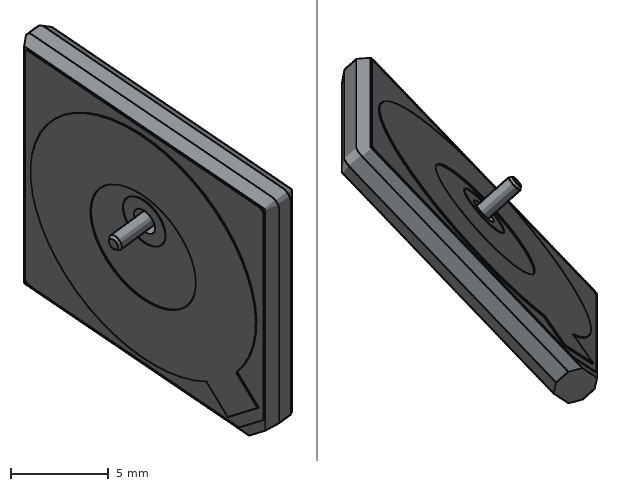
import cadquery as cq
import math

plate_side = 18.0
plate_thickness = 2.0
plate_corner_radius = 0.54
bevel_depth = 0.58
bevel_inset = 0.43
corner_cut = 2.0

film_side = 16.95
film_thickness = 0.04
film_corner_radius = 0.32
film_corner_cut = 1.78

patch_diameter = 15.98
patch_thickness = 0.07
patch_opening_diameter = 7.49
tab_width = 3.0
tab_reach = 10.0
tab_angle = -45.0

feed_z = 1.8
film_opening_diameter = 3.0
feed_hole_diameter = 1.5
pin_diameter = 0.9
pin_projection = 2.2
pin_tip_chamfer = 0.16
pin_tip_diameter = 0.65
head_diameter = 1.87
head_height = 0.49

film_front_y = -plate_thickness - film_thickness
patch_front_y = film_front_y - patch_thickness
pin_tip_y = patch_front_y - pin_projection


def front_plane(y):
    """Sketch plane across Y whose extrusions grow towards -Y."""
    return cq.Workplane("XZ", origin=(0, y, 0))


def rounded_square(y, side, radius):
    sketch = cq.Sketch().rect(side, side).vertices().fillet(radius)
    return front_plane(y).placeSketch(sketch)


def corner_prism(side, leg):
    """Triangular prism over the +X, -Z corner of a square."""
    half = side / 2
    return (
        front_plane(0)
        .polyline([(half, -half), (half, leg - half), (half - leg, -half)])
        .close()
        .extrude(plate_thickness + film_thickness)
    )


def feed_cylinder(diameter, y, length):
    return front_plane(y).center(0, feed_z).circle(diameter / 2).extrude(length)


def make_plate():
    bevel_taper = math.degrees(math.atan(bevel_inset / bevel_depth))
    half_thickness = plate_thickness / 2
    straight_half = half_thickness - bevel_depth
    rim = rounded_square(-half_thickness, plate_side, plate_corner_radius).extrude(straight_half)
    bevel = rounded_square(-half_thickness - straight_half, plate_side, plate_corner_radius).extrude(
        bevel_depth, taper=bevel_taper
    )
    front_half = rim.union(bevel)
    back_half = front_half.mirror("XZ", (0, -half_thickness, 0))
    return front_half.union(back_half).cut(corner_prism(plate_side, corner_cut))


def make_film():
    film = rounded_square(-plate_thickness, film_side, film_corner_radius).extrude(film_thickness)
    film = film.cut(corner_prism(film_side, film_corner_cut))
    return film.cut(feed_cylinder(film_opening_diameter, -plate_thickness, film_thickness))


def make_patch():
    disc = front_plane(film_front_y).circle(patch_diameter / 2).extrude(patch_thickness)
    tab = (
        front_plane(film_front_y)
        .transformed(rotate=(0, 0, tab_angle))
        .center(tab_reach / 2, 0)
        .rect(tab_reach, tab_width)
        .extrude(patch_thickness)
    )
    opening = front_plane(film_front_y).circle(patch_opening_diameter / 2).extrude(patch_thickness)
    return disc.union(tab).cut(opening)


def make_antenna():
    """Plate, film and patch as one solid, with the feed hole through the plate."""
    antenna = make_plate().union(make_film()).union(make_patch())
    return antenna.cut(feed_cylinder(feed_hole_diameter, 0, plate_thickness))


def make_pin():
    """Pin with a domed head that rests on the back of the plate and covers the feed hole."""
    dome_radius = ((head_diameter / 2) ** 2 + head_height**2) / (2 * head_height)
    arc_half_angle = math.asin(head_diameter / 2 / dome_radius) / 2
    arc_middle = (
        head_height - dome_radius * (1 - math.cos(arc_half_angle)),
        dome_radius * math.sin(arc_half_angle),
    )
    return (
        cq.Workplane("YZ", origin=(0, 0, feed_z))
        .moveTo(pin_tip_y, 0)
        .lineTo(pin_tip_y, pin_tip_diameter / 2)
        .lineTo(pin_tip_y + pin_tip_chamfer, pin_diameter / 2)
        .lineTo(0, pin_diameter / 2)
        .lineTo(0, head_diameter / 2)
        .threePointArc(arc_middle, (head_height, 0))
        .close()
        .revolve(360, (0, 0, 0), (1, 0, 0))
    )


antenna = make_antenna()
pin = make_pin()
result = cq.Compound.makeCompound([antenna.val(), pin.val()])